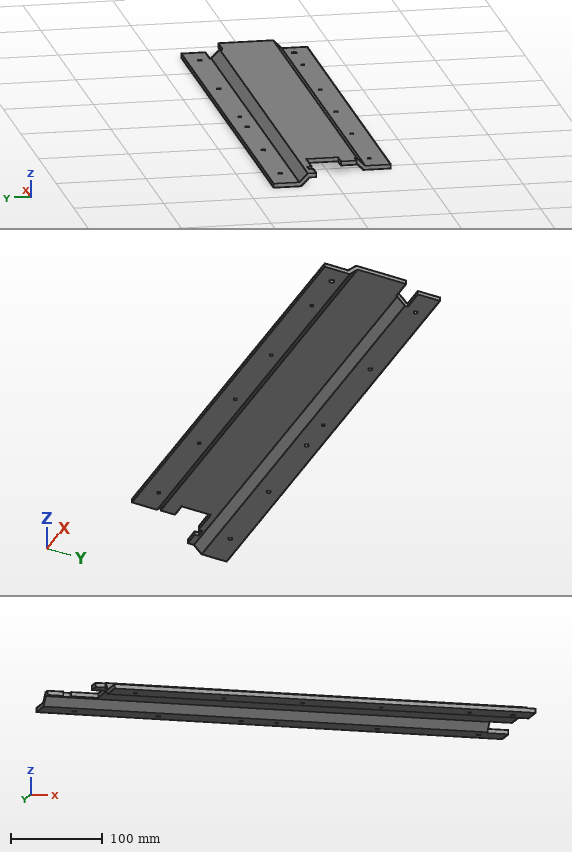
import cadquery as cq
import math

length = 527
width = 140.0
height = 14.0
thickness = 5.0

flange_width = 28.5
bend_angle = 45
rise = height - thickness
bend_run = rise / math.tan(math.radians(bend_angle))
underside_shift = thickness * math.tan(math.radians(bend_angle / 2))

lower_flange_start = 50.5
tab_start = 40.0
tab_bottom = 40.0
tab_top = 57.5
recess_end = 57.0
recess_top = 93.0
notch_start = 17.5
notch_width = 9.5
notch_depth = 5.0

slot_depth = 25.0
slot_bottom = 99.0
slot_top = 113.5

small_diameter = 3.4
medium_diameter = 4.4
large_diameter = 5.5
upper_row_y = 125.5
raised_hole_y = 126.5
lower_row_y = 18.5
upper_medium_x = [39.0, 134.0, 227.5, 496.5]
upper_small_x = 268.0
raised_hole_x = 382.0
lower_small_x = [79.0, 179.0, 268.0, 357.5, 457.5]
lower_large_x = 506.5


def bent_sheet():
    """Full-length sheet with a raised centre and a flange along each side."""
    top_bend = flange_width + bend_run
    lower_bend = flange_width + underside_shift
    upper_bend = top_bend + underside_shift
    section = [
        (0, 0),
        (lower_bend, 0),
        (upper_bend, rise),
        (width - upper_bend, rise),
        (width - lower_bend, 0),
        (width, 0),
        (width, thickness),
        (width - flange_width, thickness),
        (width - top_bend, height),
        (top_bend, height),
        (flange_width, thickness),
        (0, thickness),
    ]
    return cq.Workplane("YZ").polyline(section).close().extrude(length)


def trimmed_outline():
    """Block with the plan outline of the sheet, including the end cutouts."""
    notch_end = notch_start + notch_width
    notch_top = recess_top + notch_depth
    slot_end = length - slot_depth
    outline = [
        (lower_flange_start, 0),
        (length, 0),
        (length, slot_bottom),
        (slot_end, slot_bottom),
        (slot_end, slot_top),
        (length, slot_top),
        (length, width),
        (0, width),
        (0, recess_top),
        (notch_start, recess_top),
        (notch_start, notch_top),
        (notch_end, notch_top),
        (notch_end, recess_top),
        (recess_end, recess_top),
        (recess_end, tab_top),
        (tab_start, tab_top),
        (tab_start, tab_bottom),
        (lower_flange_start, tab_bottom),
    ]
    return cq.Workplane("XY").polyline(outline).close().extrude(height)


def drill(body, centers, diameter):
    """Cut vertical through holes in a flange."""
    holes = cq.Workplane("XY").pushPoints(centers).circle(diameter / 2).extrude(height)
    return body.cut(holes)


result = bent_sheet().intersect(trimmed_outline())
result = drill(result, [(x, upper_row_y) for x in upper_medium_x], medium_diameter)
result = drill(result, [(upper_small_x, upper_row_y)], small_diameter)
result = drill(result, [(raised_hole_x, raised_hole_y)], medium_diameter)
result = drill(result, [(x, lower_row_y) for x in lower_small_x], small_diameter)
result = drill(result, [(lower_large_x, lower_row_y)], large_diameter)